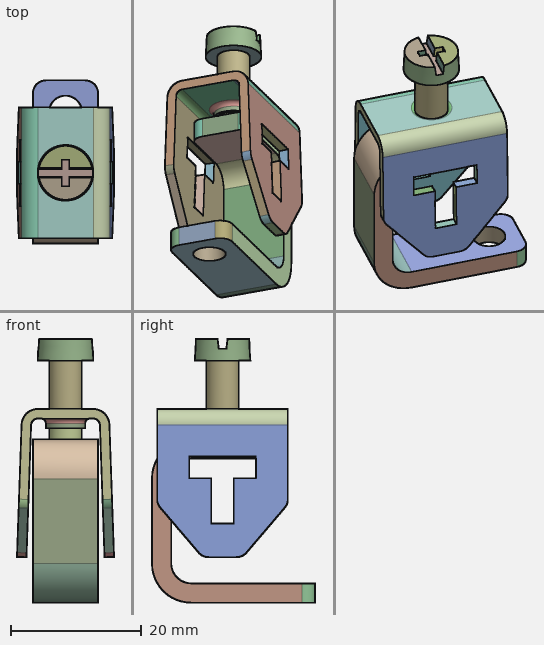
import cadquery as cq
import math


TOTAL_HEIGHT = 40.3
SCREW_RADIUS = 2.5
HEAD_HEIGHT = 3.3
HEAD_TOP_RADIUS = 4.1
HEAD_BOTTOM_RADIUS = 4.27
DRIVE_DEPTH = 1.5
SLOT_TOP_WIDTH = 1.5
SLOT_FLOOR_WIDTH = 1.13
CROSS_WIDTH = 1.13
CROSS_LENGTH = 4.05

HOOK_WIDTH = 10.0
HOOK_HEIGHT = 25.0
HOOK_THICKNESS = 3.0
HOOK_BEND_RADIUS = 6.0
HOOK_BACK_Y = -10.8
HOOK_FOOT_END_Y = 14.15
HOOK_TOP_END_Y = 5.2
HOOK_CORNER_RADIUS = 2.0
FOOT_HOLE_RADIUS = 2.5
FOOT_HOLE_Y = 9.25

CAGE_TOP_Z = 29.62
CAGE_DEPTH = 20.0
CAGE_THICKNESS = 1.5
CAGE_FLAT_HALF_WIDTH = 4.25
CAGE_BEND_RADIUS = 2.5
LEG_FLARE_DEGREES = 2.0
LEG_LENGTH = 20.25
LEG_SHOULDER = 12.1
LEG_TIP_WIDTH = 6.13
LEG_CORNER_RADIUS = 2.0

WINDOW_TOP = 4.85
WINDOW_STEP = 8.2
WINDOW_BOTTOM = 15.07
WINDOW_WIDTH = 10.15
WINDOW_STEM_WIDTH = 3.4

COLLAR_RADIUS = 3.02
COLLAR_DROP = 1.5
COLLAR_ROOT_RADIUS = 0.73
COLLAR_ENTRY_RADIUS = 0.6

PICK_MARGIN = 0.4


def make_screw():
    """Slotted cheese-head screw ending flush with the underside of the hook's top plate."""
    end_z = HOOK_HEIGHT - HOOK_THICKNESS
    head_z = TOTAL_HEIGHT - HEAD_HEIGHT
    floor_z = TOTAL_HEIGHT - DRIVE_DEPTH
    body = (
        cq.Workplane("XZ")
        .moveTo(0, end_z)
        .lineTo(SCREW_RADIUS, end_z)
        .lineTo(SCREW_RADIUS, head_z)
        .lineTo(HEAD_BOTTOM_RADIUS, head_z)
        .lineTo(HEAD_TOP_RADIUS, TOTAL_HEIGHT)
        .lineTo(0, TOTAL_HEIGHT)
        .close()
        .revolve(360, (0, 0), (0, 1))
    )
    slot = (
        cq.Workplane("YZ")
        .moveTo(-SLOT_TOP_WIDTH / 2, TOTAL_HEIGHT)
        .lineTo(SLOT_TOP_WIDTH / 2, TOTAL_HEIGHT)
        .lineTo(SLOT_FLOOR_WIDTH / 2, floor_z)
        .lineTo(-SLOT_FLOOR_WIDTH / 2, floor_z)
        .close()
        .extrude(HEAD_BOTTOM_RADIUS, both=True)
    )
    cross = (
        cq.Workplane("XY", origin=(0, 0, floor_z))
        .rect(CROSS_WIDTH, CROSS_LENGTH)
        .extrude(DRIVE_DEPTH)
    )
    return body.cut(slot).cut(cross)


def make_hook():
    """C-shaped strap: a long foot with a hole, a back wall and a short top plate."""
    inner_radius = HOOK_BEND_RADIUS - HOOK_THICKNESS
    mid_height = HOOK_HEIGHT / 2
    length = HOOK_FOOT_END_Y - HOOK_BACK_Y
    top_cut_length = HOOK_FOOT_END_Y - HOOK_TOP_END_Y

    outside = (
        cq.Workplane("XY")
        .box(HOOK_WIDTH, length, HOOK_HEIGHT, centered=(True, False, False))
        .translate((0, HOOK_BACK_Y, 0))
        .edges("|X and <Y")
        .fillet(HOOK_BEND_RADIUS)
    )
    inside = (
        cq.Workplane("XY")
        .box(HOOK_WIDTH, length, HOOK_HEIGHT - 2 * HOOK_THICKNESS, centered=(True, False, False))
        .translate((0, HOOK_BACK_Y + HOOK_THICKNESS, HOOK_THICKNESS))
        .edges("|X and <Y")
        .fillet(inner_radius)
    )
    above_foot = (
        cq.Workplane("XY")
        .box(HOOK_WIDTH, top_cut_length, mid_height, centered=(True, False, False))
        .translate((0, HOOK_TOP_END_Y, mid_height))
    )
    foot_hole = (
        cq.Workplane("XY")
        .center(0, FOOT_HOLE_Y)
        .circle(FOOT_HOLE_RADIUS)
        .extrude(HOOK_THICKNESS)
    )
    strap = outside.cut(inside).cut(above_foot)
    strap = strap.faces(">Y").edges("|Z").fillet(HOOK_CORNER_RADIUS)
    top_end = cq.selectors.BoxSelector(
        (-HOOK_WIDTH, HOOK_TOP_END_Y - PICK_MARGIN, mid_height),
        (HOOK_WIDTH, HOOK_TOP_END_Y + PICK_MARGIN, HOOK_HEIGHT),
    )
    strap = strap.edges("|Z").edges(top_end).fillet(HOOK_CORNER_RADIUS)
    return strap.cut(foot_hole)


def make_leg():
    """Pointed leg on the +X side, with a T-shaped window, flared outward about the bend centre."""
    bend_z = CAGE_TOP_Z - CAGE_BEND_RADIUS
    inner_x = CAGE_FLAT_HALF_WIDTH + CAGE_BEND_RADIUS - CAGE_THICKNESS
    half_depth = CAGE_DEPTH / 2
    half_tip = LEG_TIP_WIDTH / 2

    plate = (
        cq.Workplane("YZ", origin=(inner_x, 0, bend_z))
        .moveTo(-half_depth, 0)
        .lineTo(half_depth, 0)
        .lineTo(half_depth, -LEG_SHOULDER)
        .lineTo(half_tip, -LEG_LENGTH)
        .lineTo(-half_tip, -LEG_LENGTH)
        .lineTo(-half_depth, -LEG_SHOULDER)
        .close()
        .extrude(CAGE_THICKNESS)
    )
    below_bend = cq.selectors.BoxSelector(
        (0, -CAGE_DEPTH, bend_z - LEG_LENGTH - PICK_MARGIN),
        (2 * inner_x, CAGE_DEPTH, bend_z - PICK_MARGIN),
    )
    plate = plate.edges("|X").edges(below_bend).fillet(LEG_CORNER_RADIUS)

    for width, top, bottom in (
        (WINDOW_WIDTH, WINDOW_TOP, WINDOW_STEP),
        (WINDOW_STEM_WIDTH, WINDOW_TOP, WINDOW_BOTTOM),
    ):
        opening = (
            cq.Workplane("YZ", origin=(inner_x, 0, bend_z))
            .center(0, -(top + bottom) / 2)
            .rect(width, bottom - top)
            .extrude(CAGE_THICKNESS)
        )
        plate = plate.cut(opening)

    bend_axis_front = (CAGE_FLAT_HALF_WIDTH, -half_depth, bend_z)
    bend_axis_back = (CAGE_FLAT_HALF_WIDTH, half_depth, bend_z)
    return plate.rotate(bend_axis_front, bend_axis_back, -LEG_FLARE_DEGREES)


def make_bend():
    """Rounded bend between the flat cage top and the +X leg."""
    bend_z = CAGE_TOP_Z - CAGE_BEND_RADIUS
    inner_radius = CAGE_BEND_RADIUS - CAGE_THICKNESS
    end_angle = math.radians(LEG_FLARE_DEGREES)
    middle_angle = (end_angle + math.pi / 2) / 2

    def bend_point(radius, angle):
        return (
            CAGE_FLAT_HALF_WIDTH + radius * math.cos(angle),
            bend_z + radius * math.sin(angle),
        )

    return (
        cq.Workplane("XZ")
        .moveTo(CAGE_FLAT_HALF_WIDTH, CAGE_TOP_Z)
        .threePointArc(
            bend_point(CAGE_BEND_RADIUS, middle_angle),
            bend_point(CAGE_BEND_RADIUS, end_angle),
        )
        .lineTo(*bend_point(inner_radius, end_angle))
        .threePointArc(
            bend_point(inner_radius, middle_angle),
            (CAGE_FLAT_HALF_WIDTH, CAGE_TOP_Z - CAGE_THICKNESS),
        )
        .close()
        .extrude(CAGE_DEPTH / 2, both=True)
    )


def make_collar():
    """Collar drawn down from the cage top, with a hollow flare at its root."""
    plate_z = CAGE_TOP_Z - CAGE_THICKNESS
    root_z = plate_z - COLLAR_ROOT_RADIUS
    flare_radius = COLLAR_RADIUS + COLLAR_ROOT_RADIUS
    flare_inset = COLLAR_ROOT_RADIUS * math.sqrt(0.5)
    return (
        cq.Workplane("XZ")
        .moveTo(0, plate_z)
        .lineTo(flare_radius, plate_z)
        .threePointArc((flare_radius - flare_inset, root_z + flare_inset), (COLLAR_RADIUS, root_z))
        .lineTo(COLLAR_RADIUS, plate_z - COLLAR_DROP)
        .lineTo(0, plate_z - COLLAR_DROP)
        .close()
        .revolve(360, (0, 0), (0, 1))
    )


def make_cage():
    """Flat top with a collared, round-edged screw hole, and a flared leg on each side."""
    top = (
        cq.Workplane("XY", origin=(0, 0, CAGE_TOP_Z - CAGE_THICKNESS))
        .rect(2 * CAGE_FLAT_HALF_WIDTH, CAGE_DEPTH)
        .extrude(CAGE_THICKNESS)
    )
    top = top.union(make_collar())
    screw_hole = (
        cq.Workplane("XY", origin=(0, 0, CAGE_TOP_Z))
        .circle(SCREW_RADIUS)
        .extrude(-CAGE_THICKNESS - COLLAR_DROP)
    )
    top = top.cut(screw_hole)
    top = top.faces(">Z").edges("%CIRCLE").fillet(COLLAR_ENTRY_RADIUS)
    side = make_bend().union(make_leg())
    return top.union(side).union(side.mirror("YZ"))


result = make_cage().union(make_hook()).union(make_screw())